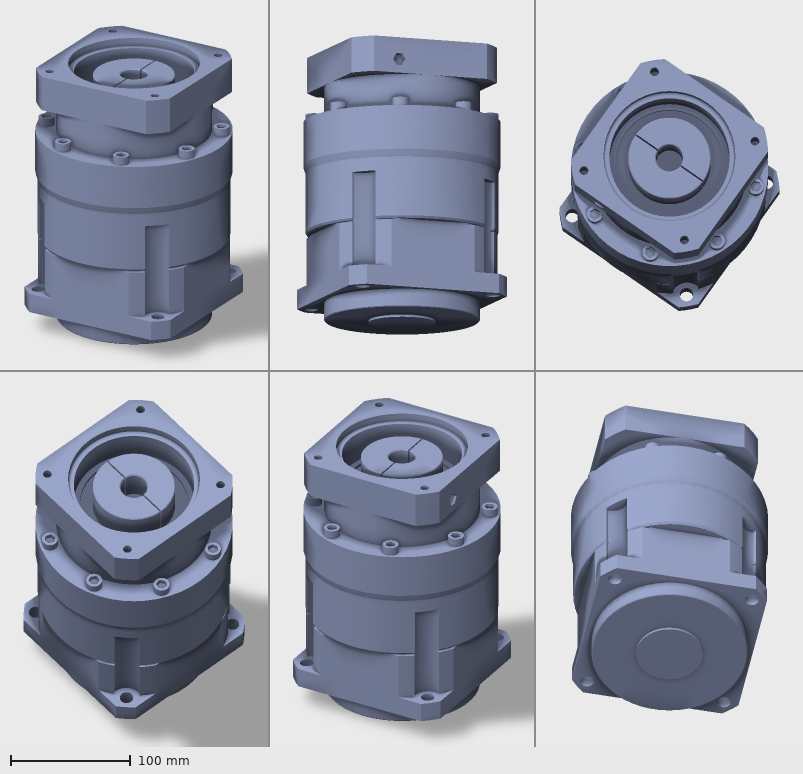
import cadquery as cq
import math


boss_top = 2.0
pilot_top = 17.0
base_plate_top = 33.5
output_top = 60.0
square_top = 73.5
groove_top = 74.5
ring_bottom = 76.5
scallop_top = 115.2
taper_bottom = 126.7
taper_top = 132.7
ring_top = 157.5
flange_top = 169.8
motor_plate_bottom = 199.5
total_height = 229.5

boss_diameter = 56.0
pilot_diameter = 130.4
pilot_chamfer = 0.7
square_width = 141.8
base_corner_diameter = 184.7
upper_corner_diameter = 160.2
bolt_circle = 165.0
bolt_hole_diameter = 11.2

scallop_width = 20.9
scallop_radius = 13.8
scallop_depth_radius = 72.3

ring_diameter = 161.0
ring_chamfer_width = 1.4
groove_diameter = 154.2
flange_diameter = 165.0
screw_count = 8
screw_circle = 147.8
screw_first_angle = 22.5
screw_head_diameter = 13.3
screw_head_height = 7.3
screw_socket_width = 8.0
screw_socket_depth = 4.1

neck_diameter = 130.4
motor_plate_width = 130.4
motor_bolt_circle = 145.0
motor_hole_diameter = 7.3
motor_hole_depth = 18.4
drill_point_angle = 118.0
recess_diameter = 110.2
recess_depth = 7.0
cavity_diameter = 100.5
cavity_depth = 33.3
well_diameter = 90.5
well_depth = 35.5

hub_diameter = 68.8
hub_drop = 9.6
hub_chamfer = 0.7
hub_bore_diameter = 22.5
hub_bore_chamfer = 1.0
hub_slit_width = 1.4

plug_y = 27.8
plug_drop = 18.5
plug_socket_width = 9.9
plug_socket_depth = 6.9

corner_angles = [45, 135, 225, 315]


def disc(diameter, bottom, top):
    return cq.Workplane("XY").workplane(offset=bottom).circle(diameter / 2).extrude(top - bottom)


def rounded_square(width, corner_diameter, bottom, top):
    """Square block whose corners are trimmed by a concentric cylinder."""
    block = cq.Workplane("XY").workplane(offset=bottom).rect(width, width).extrude(top - bottom)
    return block.intersect(disc(corner_diameter, bottom, top))


def cone(lower_diameter, upper_diameter, bottom, top):
    solid = cq.Solid.makeCone(lower_diameter / 2, upper_diameter / 2, top - bottom, cq.Vector(0, 0, bottom))
    return cq.Workplane("XY").add(solid)


def drill_point_depth(diameter):
    return diameter / 2 / math.tan(math.radians(drill_point_angle / 2))


def hexagon_diameter(across_flats):
    return across_flats / math.cos(math.radians(30))


def scallop(angle):
    """Flat-sided cutter with a cylindrical bottom, standing on the base plate at one corner."""
    height = scallop_top - base_plate_top
    center = scallop_depth_radius + scallop_radius
    bottom_round = cq.Workplane("XY").center(center, 0).circle(scallop_radius).extrude(height)
    sides = cq.Workplane("XY").center(center, 0).rect(2 * scallop_radius, scallop_width).extrude(height)
    cutter = bottom_round.intersect(sides).translate((0, 0, base_plate_top))
    return cutter.rotate((0, 0, 0), (0, 0, 1), angle)


def cut_scallops(body):
    for angle in corner_angles:
        body = body.cut(scallop(angle))
    return body


def make_output_housing():
    pilot = disc(pilot_diameter, boss_top, pilot_top).faces("<Z").chamfer(pilot_chamfer)
    body = disc(boss_diameter, 0, boss_top).union(pilot)
    body = body.union(rounded_square(square_width, base_corner_diameter, pilot_top, base_plate_top))
    body = body.union(rounded_square(square_width, upper_corner_diameter, base_plate_top, output_top))
    body = cut_scallops(body)
    bolt_holes = (
        cq.Workplane("XY")
        .workplane(offset=pilot_top)
        .polarArray(bolt_circle / 2, corner_angles[0], 360, len(corner_angles))
        .circle(bolt_hole_diameter / 2)
        .extrude(base_plate_top - pilot_top)
    )
    return body.cut(bolt_holes)


def make_ring_housing():
    chamfer_diameter = ring_diameter - 2 * ring_chamfer_width
    body = rounded_square(square_width, upper_corner_diameter, output_top, square_top)
    body = body.union(rounded_square(square_width, groove_diameter, square_top, groove_top))
    body = body.union(cone(chamfer_diameter, ring_diameter, groove_top, ring_bottom))
    body = body.union(disc(ring_diameter, ring_bottom, taper_bottom))
    body = body.union(cone(ring_diameter, flange_diameter, taper_bottom, taper_top))
    body = body.union(disc(flange_diameter, taper_top, ring_top))
    return cut_scallops(body)


def make_screw_heads():
    """Ring of socket screw heads standing on the flange."""
    head = disc(screw_head_diameter, flange_top, flange_top + screw_head_height)
    head = (
        head.faces(">Z")
        .workplane()
        .polygon(6, hexagon_diameter(screw_socket_width))
        .cutBlind(-screw_socket_depth)
        .translate((screw_circle / 2, 0, 0))
    )
    heads = cq.Workplane("XY")
    for index in range(screw_count):
        angle = screw_first_angle + index * 360 / screw_count
        heads = heads.add(head.rotate((0, 0, 0), (0, 0, 1), angle))
    return heads


def make_hub():
    """Slit clamping hub standing on the bottom of the adapter well."""
    hub_bottom = total_height - well_depth
    hub_top = total_height - hub_drop
    hub = disc(hub_diameter, hub_bottom, hub_top).faces(">Z").chamfer(hub_chamfer)
    hub = hub.cut(disc(hub_bore_diameter, hub_bottom, hub_top))
    chamfer_diameter = hub_bore_diameter + 2 * hub_bore_chamfer
    hub = hub.cut(cone(hub_bore_diameter, chamfer_diameter, hub_top - hub_bore_chamfer, hub_top))
    slit = (
        cq.Workplane("XY")
        .workplane(offset=hub_bottom)
        .rect(hub_slit_width, hub_diameter)
        .extrude(hub_top - hub_bottom)
    )
    return hub.cut(slit)


def motor_hole(angle):
    """Tapped hole with a drill point, at one corner of the motor plate."""
    bottom = total_height - motor_hole_depth
    hole = disc(motor_hole_diameter, bottom, total_height)
    hole = hole.union(cone(0, motor_hole_diameter, bottom - drill_point_depth(motor_hole_diameter), bottom))
    return hole.translate((motor_bolt_circle / 2, 0, 0)).rotate((0, 0, 0), (0, 0, 1), angle)


def plug_socket():
    """Hexagon socket with a drill point, entering along +X."""
    socket = cq.Workplane("XY").polygon(6, hexagon_diameter(plug_socket_width)).extrude(plug_socket_depth)
    point_end = plug_socket_depth + drill_point_depth(plug_socket_width)
    socket = socket.union(cone(plug_socket_width, 0, plug_socket_depth, point_end))
    socket = socket.rotate((0, 0, 0), (0, 0, 1), 90).rotate((0, 0, 0), (0, 1, 0), 90)
    return socket.translate((-motor_plate_width / 2, plug_y, total_height - plug_drop))


def make_input_adapter():
    body = disc(flange_diameter, ring_top, flange_top)
    body = body.union(disc(neck_diameter, flange_top, motor_plate_bottom))
    body = body.union(rounded_square(motor_plate_width, flange_diameter, motor_plate_bottom, total_height))
    for head in make_screw_heads().vals():
        body = body.union(cq.Workplane("XY").add(head))
    body = body.cut(disc(recess_diameter, total_height - recess_depth, total_height))
    body = body.cut(disc(cavity_diameter, total_height - cavity_depth, total_height))
    body = body.cut(disc(well_diameter, total_height - well_depth, total_height))
    body = body.union(make_hub())
    for angle in corner_angles:
        body = body.cut(motor_hole(angle))
    return body.cut(plug_socket())


output_housing = make_output_housing()
ring_housing = make_ring_housing()
input_adapter = make_input_adapter()

bodies = [output_housing, ring_housing, input_adapter]
result = cq.Compound.makeCompound([body.solids().val() for body in bodies])